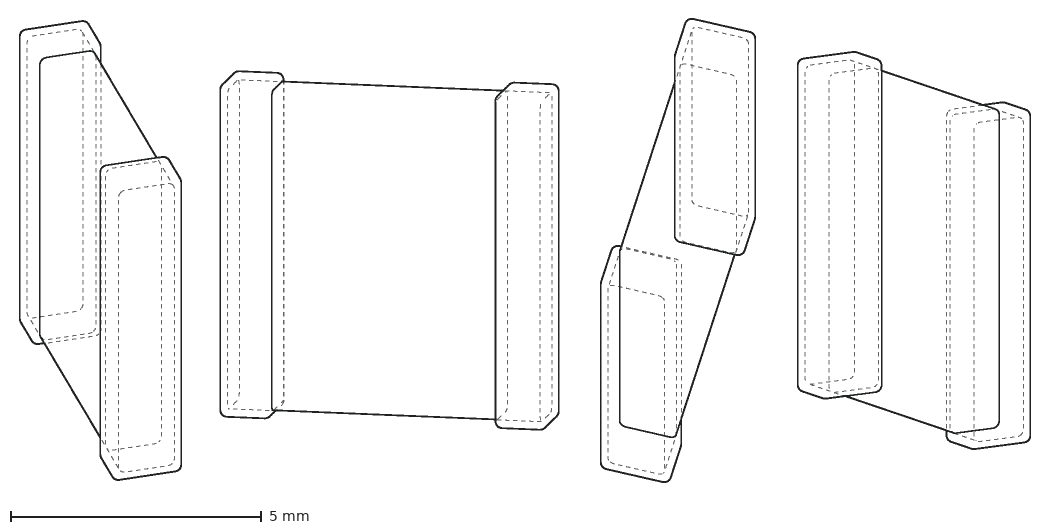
import cadquery as cq

length = 6.65
depth = 1.45
height = 6.8

terminal_width = 1.05
plating = 0.14
edge_radius = 0.14

block_length = length - 2 * plating
block_depth = depth - 2 * plating
block_height = height - 2 * plating
terminal_offset = (length - terminal_width) / 2


def make_block():
    """Ceramic block with its long edges rounded; its ends sit inside the terminals."""
    block = cq.Workplane("XY").box(block_length, block_depth, block_height)
    return block.edges("|X").fillet(edge_radius)


def make_terminal(side, block):
    """Rounded end cap on the -X (side = -1) or +X (side = 1) end, recessed to take the block."""
    cap = cq.Workplane("XY").box(terminal_width, depth, height)
    cap = cap.edges().fillet(edge_radius)
    return cap.translate((side * terminal_offset, 0, 0)).cut(block)


block = make_block()
terminals = [make_terminal(side, block) for side in (-1, 1)]

result = cq.Compound.makeCompound([block.val(), *[terminal.val() for terminal in terminals]])